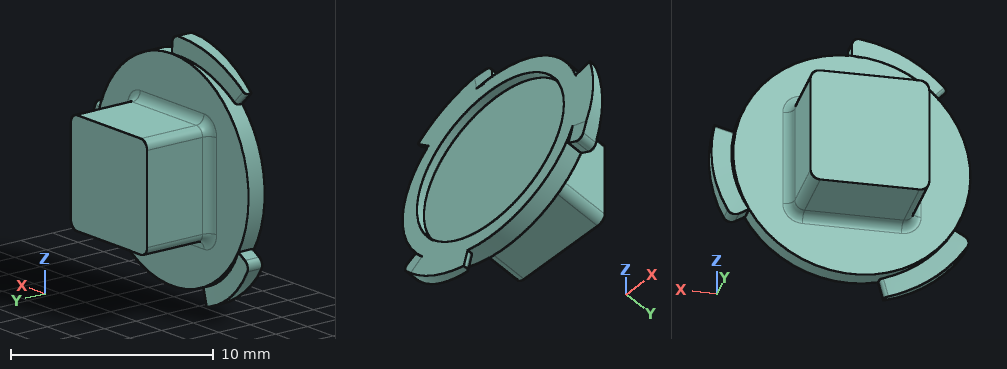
import cadquery as cq
import math

disc_radius = 6.0
disc_thickness = 1.03
recess_radius = 5.0
recess_depth = 0.5

total_depth = 5.03
block_side = 6.0
block_corner_radius = 0.5
block_root_fillet = 0.5

tab_count = 3
tab_outer_radius = 7.0
tab_start_angle = 90
tab_span = 45
tab_corner_radius = 0.4
tab_thin_end = 0.4
tab_thin_end_fillet = 0.2
lead_in_span = 9
lead_in_depth = 0.11

overlap = 0.55
tab_end_angle = tab_start_angle + tab_span


def polar(radius, angle):
    """X and Z of a point in the disc plane; the angle is measured from +X toward +Z."""
    theta = math.radians(angle)
    return radius * math.cos(theta), radius * math.sin(theta)


def cylinder(radius, depth):
    return cq.Workplane("XZ").circle(radius).extrude(-depth)


def radial_section(angle, y_low, y_high):
    """Rectangular wire in the radial plane at the given angle, spanning the tab."""
    inner_x, inner_z = polar(disc_radius - overlap, angle)
    outer_x, outer_z = polar(tab_outer_radius + 2 * overlap, angle)
    corners = [
        cq.Vector(inner_x, y_low, inner_z),
        cq.Vector(outer_x, y_low, outer_z),
        cq.Vector(outer_x, y_high, outer_z),
        cq.Vector(inner_x, y_high, inner_z),
    ]
    return cq.Wire.makePolygon(corners, close=True)


def ramp_cutter(start_section, end_section):
    return cq.Workplane(obj=cq.Solid.makeLoft([start_section, end_section], True))


def bayonet_tab():
    """Tab with a rear face that ramps down to a thin end and a short front lead-in."""
    root_radius = disc_radius - overlap
    middle_angle = tab_start_angle + tab_span / 2
    tab = (
        cq.Workplane("XZ")
        .moveTo(*polar(root_radius, tab_start_angle))
        .lineTo(*polar(tab_outer_radius, tab_start_angle))
        .threePointArc(polar(tab_outer_radius, middle_angle), polar(tab_outer_radius, tab_end_angle))
        .lineTo(*polar(root_radius, tab_end_angle))
        .threePointArc(polar(root_radius, middle_angle), polar(root_radius, tab_start_angle))
        .close()
        .extrude(-disc_thickness)
    )
    corner_x, corner_z = polar(tab_outer_radius, tab_start_angle)
    corner = cq.selectors.NearestToPointSelector((corner_x, disc_thickness / 2, corner_z))
    tab = tab.edges("|Y").edges(corner).fillet(tab_corner_radius)

    cutter_top = disc_thickness + overlap
    tab = tab.cut(ramp_cutter(
        radial_section(tab_start_angle, disc_thickness, cutter_top),
        radial_section(tab_end_angle, tab_thin_end, cutter_top),
    ))
    thin_x, thin_z = polar((root_radius + tab_outer_radius) / 2, tab_end_angle)
    thin_edge = cq.selectors.NearestToPointSelector((thin_x, tab_thin_end, thin_z))
    tab = tab.edges(thin_edge).fillet(tab_thin_end_fillet)
    return tab.cut(lead_in_cutter())


def lead_in_cutter():
    """Wedge that bevels the front of a tab at its thick end."""
    return ramp_cutter(
        radial_section(tab_start_angle, -overlap, lead_in_depth),
        radial_section(tab_start_angle + lead_in_span, -overlap, 0),
    )


disc = cylinder(disc_radius, disc_thickness)
recess = cylinder(recess_radius, recess_depth)

block = (
    cq.Workplane("XZ", origin=(0, disc_thickness, 0))
    .rect(block_side, block_side)
    .extrude(disc_thickness - total_depth)
    .edges("|Y")
    .fillet(block_corner_radius)
)
body = disc.union(block)
rear_face = body.faces("<Y[1]").val()
root_edges = rear_face.innerWires()[0].Edges()
body = body.newObject(root_edges).fillet(block_root_fillet)

tab = bayonet_tab()
for index in range(tab_count):
    body = body.union(tab.rotate((0, 0, 0), (0, 1, 0), index * 360 / tab_count))

result = body.cut(recess)